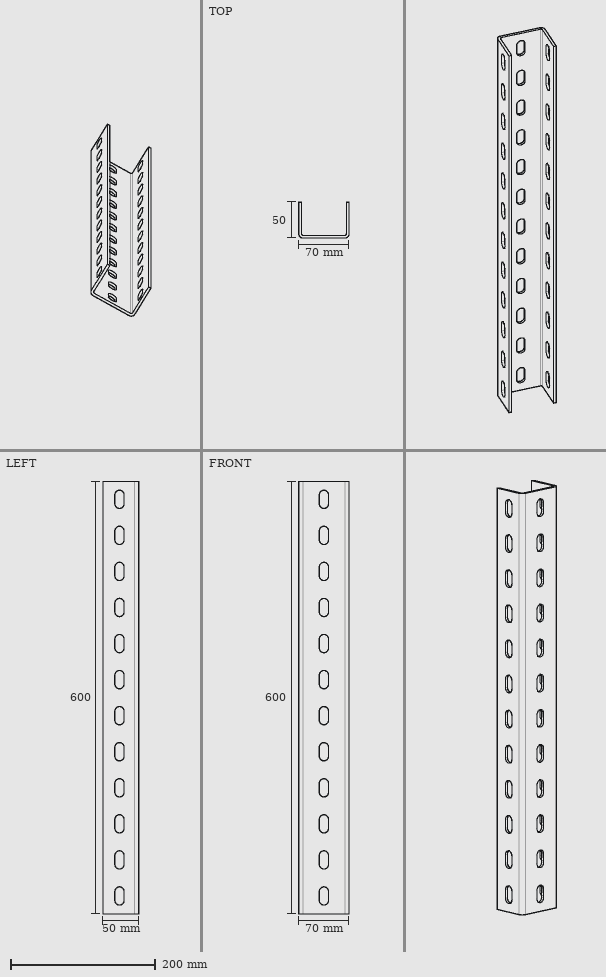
import cadquery as cq

width = 70.0
depth = 50.0
length = 600.0
wall = 4.0
inner_bend_radius = 2.0
outer_bend_radius = inner_bend_radius + wall

slot_count = 12
slot_pitch = length / slot_count
slot_width = 12.5
slot_length = 25.0
flange_slot_y = 27.0


def make_channel():
    """U-shaped channel, outer web face on the XZ plane, flanges pointing to +Y."""
    outer = (
        cq.Workplane("XY")
        .box(width, depth, length, centered=(True, False, False))
        .edges("|Z and <Y")
        .fillet(outer_bend_radius)
    )
    inner = (
        cq.Workplane("XY")
        .box(width - 2 * wall, depth, length, centered=(True, False, False))
        .translate((0, wall, 0))
        .edges("|Z and <Y")
        .fillet(inner_bend_radius)
    )
    return outer.cut(inner)


def slot_centres(across):
    """Evenly pitched slot centres, half a pitch in from each end."""
    return [(across, (i + 0.5) * slot_pitch) for i in range(slot_count)]


def cut_web_slots(body):
    cutters = (
        cq.Workplane("XZ", origin=(0, wall, 0))
        .pushPoints(slot_centres(0))
        .slot2D(slot_length, slot_width, 90)
        .extrude(wall)
    )
    return body.cut(cutters)


def cut_flange_slots(body):
    cutters = (
        cq.Workplane("YZ")
        .pushPoints(slot_centres(flange_slot_y))
        .slot2D(slot_length, slot_width, 90)
        .extrude(width / 2, both=True)
    )
    return body.cut(cutters)


result = cut_flange_slots(cut_web_slots(make_channel()))